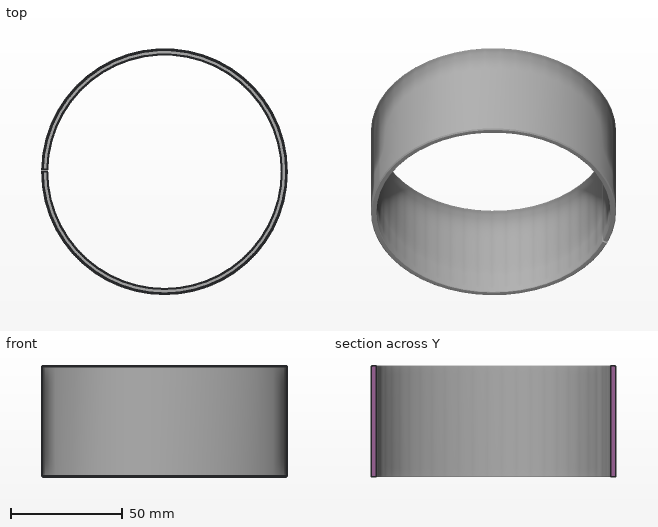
import cadquery as cq
import math

outer_diameter = 110.0
wall = 2.5
height = 50.0
outer_chamfer = 0.5
inner_chamfer = 0.2

split_angle = 1.0

outer_radius = outer_diameter / 2
inner_radius = outer_radius - wall


def chamfered_ring():
    """Thin ring standing on Z = 0 with its inner and outer rims chamfered at both ends."""
    ring = cq.Workplane("XY").circle(outer_radius).circle(inner_radius).extrude(height)
    outer_rims = cq.selectors.RadiusNthSelector(-1)
    ring = ring.faces("<Z or >Z").edges(outer_rims).chamfer(outer_chamfer)
    inner_rims = cq.selectors.RadiusNthSelector(0)
    return ring.faces("<Z or >Z").edges(inner_rims).chamfer(inner_chamfer)


def split_wedge():
    """Thin wedge with its tip on the ring axis, reaching past the wall on the -X side."""
    reach = outer_diameter
    opening = reach * math.tan(math.radians(split_angle))
    tip = (0, 0)
    flat_side_end = (-reach, 0)
    sloped_side_end = (-reach, opening)
    return cq.Workplane("XY").polyline([tip, flat_side_end, sloped_side_end]).close().extrude(height)


result = chamfered_ring().cut(split_wedge())